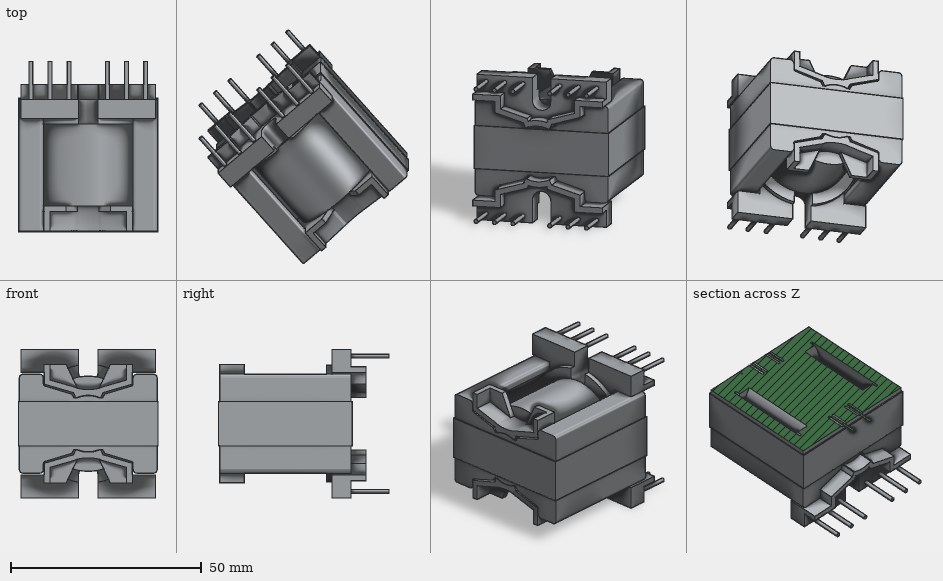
import cadquery as cq
import math

core_width = 36.2
core_length = 34.45
core_height = 26.0
edge_radius = 1.0
yoke_thickness = 5.0
post_radius = 7.35
window_radius = 16.0
core_half = core_length / 2
window_half = core_half - yoke_thickness

channel_half_width = 11.75
channel_wall_foot_z = 10.0
channel_step_x, channel_step_z = 4.35, 7.75
channel_toe_x = 3.7
channel_corner_radius = 0.65
seat_z = 6.7
bobbin_clearance = 0.15

tape_side = 0.2
tape_end = 0.35
tape_height = 11.55

flange_thickness = 1.5
flange_radius = 15.55
winding_radius = 12.5
tube_radius = 8.95
winding_half = window_half - flange_thickness

collar_half_width = 11.6
collar_wall = 1.52
collar_wall_foot_z = 10.4
collar_step_x, collar_step_z = 3.85, 8.15
collar_toe_x = 3.25
pocket_half_width = collar_half_width - collar_wall
pocket_foot_z = 11.45
floor_slope = (collar_wall_foot_z - collar_step_z) / (collar_half_width - collar_step_x)
floor_kink_x = 3.55
notch_bottom_x, notch_bottom_z = 2.8, 9.27
notch_top_x = 5.8

overall_height = 39.0
block_width = 35.3
block_bottom_z = 13.45
block_top_z = overall_height / 2
block_depth = 5.0
ledge_top_z = 15.0
ledge_overhang = 3.95
slot_width = 5.0
slot_centre_z = 13.4
pin_radius = 0.55
pin_length = 10.0
pin_pitch = 5.0
pin_z = 17.75
pins_per_side = 3

clear_size = 26.9


def section(y_start):
    """Sketch plane with local axes X and Z, placed at y_start."""
    return cq.Workplane("XZ", origin=(0, y_start, 0))


def prism(outline, y_start, y_end):
    """Extrude a closed outline in +Y."""
    return outline.extrude(y_start - y_end)


def disc(radius, y_start, y_end):
    return prism(section(y_start).circle(radius), y_start, y_end)


def block(x_start, x_end, y_start, y_end, z_start, z_end):
    size = (x_end - x_start, y_end - y_start, z_end - z_start)
    return cq.Workplane("XY").box(*size, centered=False).translate((x_start, y_start, z_start))


def mirrored_outline(y_start, right_points, bottom_arc_z, top_z):
    """Outline symmetric in X: points from the outer right wall inward, an arc, then a flat top."""
    left_points = [(-x, z) for x, z in reversed(right_points)]
    return (
        section(y_start)
        .moveTo(right_points[0][0], top_z)
        .polyline(right_points, includeCurrent=True)
        .threePointArc((0, bottom_arc_z), left_points[0])
        .polyline(left_points[1:], includeCurrent=True)
        .lineTo(left_points[-1][0], top_z)
        .close()
    )


def both_ends(upper):
    """Add the copy mirrored below the XY plane."""
    return upper.union(upper.mirror("XY"))


def saddle_half_width(radius, z):
    """X at which a circle about the winding axis meets height z."""
    return math.sqrt(radius**2 - z**2)


def make_channel():
    points = [
        (channel_half_width, channel_wall_foot_z),
        (channel_step_x, channel_step_z),
        (channel_toe_x, seat_z),
        (saddle_half_width(post_radius, seat_z), seat_z),
    ]
    outline = mirrored_outline(-core_half, points, post_radius, clear_size)
    channel = prism(outline, -core_half, core_half)
    middle_z = (channel_wall_foot_z + channel_step_z) / 2
    foot_edges = cq.selectors.BoxSelector(
        (-clear_size, -clear_size, middle_z),
        (clear_size, clear_size, channel_wall_foot_z + channel_corner_radius),
    )
    return channel.edges("|Y").edges(foot_edges).fillet(channel_corner_radius)


def make_core():
    envelope = cq.Workplane("XY").box(core_width, core_length, core_height)
    body = envelope.cut(both_ends(make_channel()))
    body = body.faces(">Z or <Z").edges("|Y").fillet(edge_radius)
    window = disc(window_radius, -window_half, window_half)
    post = disc(post_radius, -window_half, window_half)
    return body.cut(window).union(post)


def make_tape():
    tape = cq.Workplane("XY").box(core_width + 2 * tape_side, core_length + 2 * tape_end, tape_height)
    return tape.cut(cq.Workplane("XY").box(core_width, core_length, tape_height))


def collar_solid(y_start, y_end, top_z):
    """Collar body above the core channel, with its pockets not yet cut."""
    saddle_radius = post_radius + bobbin_clearance
    toe_z = seat_z + bobbin_clearance
    points = [
        (collar_half_width, collar_wall_foot_z),
        (collar_step_x, collar_step_z),
        (collar_toe_x, toe_z),
        (saddle_half_width(saddle_radius, toe_z), toe_z),
    ]
    return prism(mirrored_outline(y_start, points, saddle_radius, top_z), y_start, y_end)


def floor_z(x):
    """Height of the sloping pocket floor."""
    return pocket_foot_z - floor_slope * (pocket_half_width - x)


def make_front_collar():
    """Trough at the front yoke, open to the front, above the winding axis."""
    collar = collar_solid(-core_half, -window_half, flange_radius)
    points = [
        (pocket_half_width, pocket_foot_z),
        (floor_kink_x, floor_z(floor_kink_x)),
        (notch_bottom_x, notch_bottom_z),
    ]
    pocket = mirrored_outline(-core_half, points, tube_radius, clear_size)
    return collar.cut(prism(pocket, -core_half, -window_half))


def make_front_flange():
    """Rounded plate behind the collars with a tapered notch at the top and bottom."""
    flange = disc(flange_radius, -window_half, -winding_half)
    plate = block(
        -collar_half_width, collar_half_width, -window_half, -winding_half, -flange_radius, flange_radius
    )
    points = [(notch_top_x, flange_radius), (notch_bottom_x, notch_bottom_z)]
    outline = mirrored_outline(-window_half, points, tube_radius, clear_size)
    notch = prism(outline, -window_half, -winding_half)
    return flange.union(plate).cut(both_ends(notch))


def make_rear_ledge():
    """Trough behind the rear yoke with flat arms reaching out to the block width."""
    ledge_end = core_half + ledge_overhang
    arms = block(
        -block_width / 2, block_width / 2, core_half, ledge_end, block_bottom_z, ledge_top_z
    )
    slot_half = slot_width / 2
    points = [
        (pocket_half_width, pocket_foot_z),
        (notch_bottom_x, floor_z(notch_bottom_x)),
        (slot_half, math.sqrt(tube_radius**2 - slot_half**2)),
    ]
    pocket = prism(mirrored_outline(core_half, points, tube_radius, clear_size), core_half, ledge_end)
    return collar_solid(core_half, ledge_end, ledge_top_z).union(arms).cut(pocket)


def make_terminal_block():
    front_y = core_half - block_depth
    bar = block(-block_width / 2, block_width / 2, front_y, core_half, block_bottom_z, block_top_z)
    return bar.union(collar_solid(front_y, core_half, block_bottom_z))


def make_wire_slot():
    """Round-bottomed slot through the terminal block and the rear flange."""
    round_bottom = prism(
        section(winding_half).center(0, slot_centre_z).circle(slot_width / 2), winding_half, core_half
    )
    opening = block(-slot_width / 2, slot_width / 2, winding_half, core_half, slot_centre_z, clear_size)
    return round_bottom.union(opening)


def make_pins():
    positions = [
        (side * pin_pitch * number, pin_z) for side in (-1, 1) for number in range(1, pins_per_side + 1)
    ]
    outline = section(core_half).pushPoints(positions).circle(pin_radius)
    return prism(outline, core_half, core_half + pin_length)


winding = disc(winding_radius, -winding_half, winding_half)
rear_flange = disc(flange_radius, winding_half, window_half)
terminals = rear_flange.union(both_ends(make_terminal_block())).cut(both_ends(make_wire_slot()))

result = (
    make_core()
    .union(make_tape())
    .union(winding)
    .union(make_front_flange())
    .union(both_ends(make_front_collar()))
    .union(terminals)
    .union(both_ends(make_rear_ledge()))
    .union(both_ends(make_pins()))
)